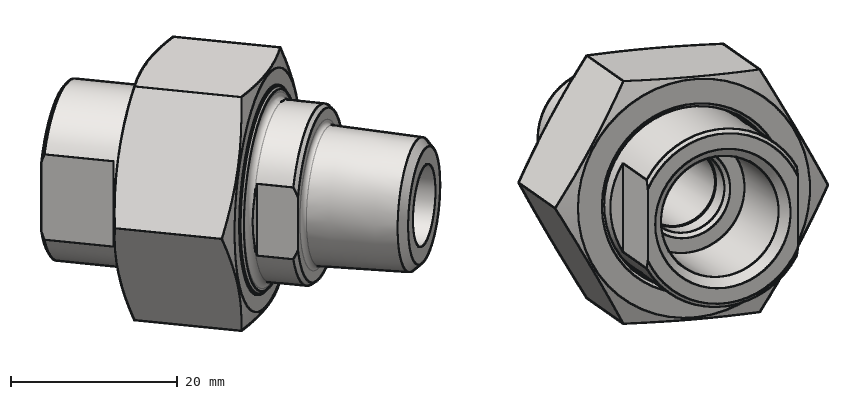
import cadquery as cq
import math


total_length = 45.0
hub_radius = 22.0 / 2
collar_radius = 25.0 / 2
joint_x = 17.1
flat_end_angle = 15.0

tail_chamfer_length = 0.4
tail_chamfer_depth = 0.5
tail_flat_length = 9.0
tail_across_flats = 19.1
flange_start_x = 13.5
socket_radius = 14.95 / 2
socket_depth = 13.5
socket_chamfer = 1.12
tail_bore_radius = 10.2 / 2
tail_bore_chamfer = 0.55

nut_start_x = 10.5
nut_length = 15.05
nut_end_x = nut_start_x + nut_length
nut_across_flats = 30.0
nut_corner_radius = nut_across_flats / math.sqrt(3)
nut_face_radius = 29.48 / 2
nut_chamfer_length = 0.85
nut_lip_radius = 22.5 / 2
nut_lip_chamfer = 0.45
nut_cavity_radius = 25.4 / 2

adapter_bore_radius = 10.0 / 2
collar_end_x = 25.95
collar_chamfer = 0.3
collar_fillet = 0.85
adapter_hub_end_x = 32.1
adapter_chamfer_length = 0.6
adapter_chamfer_depth = 0.45
adapter_flat_start_x = 27.0
adapter_across_flats = 20.0
thread_root_fillet = 0.65
thread_start_radius = 8.5
thread_end_radius = 8.15
thread_chamfer_length = 1.05
thread_tip_radius = 7.15


def revolve_about_x(profile):
    """Turn a closed XY profile, drawn at Y = radius, into a body of revolution about X."""
    return profile.close().revolve(360, (0, 0, 0), (1, 0, 0))


def concave_arc(profile, start, radius):
    """Add a quarter fillet from a shoulder face down to a smaller cylinder."""
    x, r = start
    reach = radius * (1 - math.sqrt(0.5))
    return profile.threePointArc((x + reach, r - radius + reach), (x + radius, r - radius))


def cut_wrench_flats(body, start_x, shoulder_x, across_flats, shoulder_side):
    """Cut two flats facing +Y and -Y; shoulder_side (+1 or -1) is the X side of the sloped shoulder."""
    inner = across_flats / 2
    outer = collar_radius
    slope = shoulder_side * (outer - inner) * math.tan(math.radians(flat_end_angle))
    for side in (1, -1):
        cutter = (
            cq.Workplane("XY")
            .polyline([
                (start_x, side * inner),
                (shoulder_x, side * inner),
                (shoulder_x + slope, side * outer),
                (start_x, side * outer),
            ])
            .close()
            .extrude(collar_radius, both=True)
        )
        body = body.cut(cutter)
    return body


def make_tailpiece():
    """Flanged sleeve with a stepped bore and two flats running out at its free end."""
    profile = cq.Workplane("XY").polyline([
        (0, socket_radius + socket_chamfer),
        (0, hub_radius - tail_chamfer_depth),
        (tail_chamfer_length, hub_radius),
        (flange_start_x, hub_radius),
        (flange_start_x, collar_radius),
        (joint_x, collar_radius),
        (joint_x, tail_bore_radius),
        (socket_depth + tail_bore_chamfer, tail_bore_radius),
        (socket_depth, tail_bore_radius + tail_bore_chamfer),
        (socket_depth, socket_radius),
        (socket_chamfer, socket_radius),
    ])
    sleeve = revolve_about_x(profile)
    return cut_wrench_flats(sleeve, 0, tail_flat_length, tail_across_flats, 1)


def make_nut():
    """Hexagon with corners on Y, chamfered at both ends, with a lip that traps the tailpiece flange."""
    hexagon = (
        cq.Workplane("YZ", origin=(nut_start_x, 0, 0))
        .polygon(6, 2 * nut_corner_radius)
        .extrude(nut_length)
    )
    turned_blank = revolve_about_x(cq.Workplane("XY").polyline([
        (nut_start_x, nut_lip_radius + nut_lip_chamfer),
        (nut_start_x, nut_face_radius),
        (nut_start_x + nut_chamfer_length, nut_corner_radius),
        (nut_end_x - nut_chamfer_length, nut_corner_radius),
        (nut_end_x, nut_face_radius),
        (nut_end_x, nut_cavity_radius),
        (flange_start_x, nut_cavity_radius),
        (flange_start_x, nut_lip_radius),
        (nut_start_x + nut_lip_chamfer, nut_lip_radius),
    ]))
    return hexagon.intersect(turned_blank)


def make_adapter():
    """Collar, hub with two flats and tapered male end around a straight bore."""
    collar_fillet_start = (collar_end_x, hub_radius + collar_fillet)
    root_fillet_start = (adapter_hub_end_x, thread_start_radius + thread_root_fillet)
    profile = cq.Workplane("XY").polyline([
        (joint_x, adapter_bore_radius),
        (joint_x, collar_radius),
        (collar_end_x - collar_chamfer, collar_radius),
        (collar_end_x, collar_radius - collar_chamfer),
        collar_fillet_start,
    ])
    profile = concave_arc(profile, collar_fillet_start, collar_fillet)
    profile = (
        profile
        .lineTo(adapter_hub_end_x - adapter_chamfer_length, hub_radius)
        .lineTo(adapter_hub_end_x, hub_radius - adapter_chamfer_depth)
        .lineTo(*root_fillet_start)
    )
    profile = concave_arc(profile, root_fillet_start, thread_root_fillet)
    profile = (
        profile
        .lineTo(total_length - thread_chamfer_length, thread_end_radius)
        .lineTo(total_length, thread_tip_radius)
        .lineTo(total_length, adapter_bore_radius)
    )
    body = revolve_about_x(profile)
    return cut_wrench_flats(body, adapter_hub_end_x, adapter_flat_start_x, adapter_across_flats, -1)


tailpiece = make_tailpiece()
nut = make_nut()
adapter = make_adapter()

result = cq.Compound.makeCompound([tailpiece.val(), nut.val(), adapter.val()])